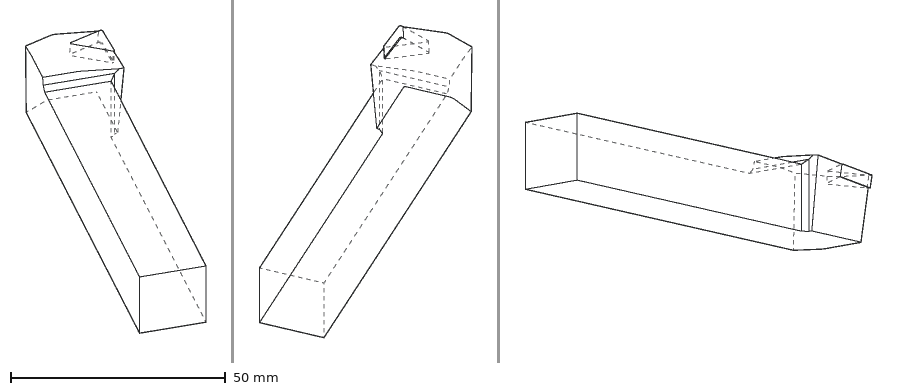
import cadquery as cq
import math

LENGTH = 99.7
HEAD_HEIGHT = 19.0
SHANK_WIDTH = 16.2
SHANK_HEIGHT = 16.0

NOSE_BASE_X = 1.8
BACK_BASE_Y = 18.1
FLANK_DRAFT = 5.3
CORNER_BASE_Y = 6.1
CORNER_DRAFT = 6.3
FRONT_BEVEL_ANGLE = 30.0
BEVEL_CORNER_RADIUS = 3.3
BACK_CORNER_RADIUS = 0.4

STEP_TOP_X = 19.0
STEP_LEAN = 0.5
STEP_CHAMFER = 1.2
HEAD_BACK_Y = 19.8

SLOPE_START_X = 10.3
SLOPE_ANGLE = 8.2

INSERT_SIDE = 11.2
INSERT_THICKNESS = 3.1
INSERT_NOSE_RADIUS = 0.4
INSERT_CENTER_X = 5.3
INSERT_BACK_Y = 20.0

SLOPE = math.tan(math.radians(SLOPE_ANGLE))
MARGIN = 5.0

BACK_CORNER = 3
BEVEL_CORNER = 4


def head_outline(z):
    """Corners of the drafted outline at height z."""
    flare = z * math.tan(math.radians(FLANK_DRAFT))
    left_x = NOSE_BASE_X - flare
    back_y = BACK_BASE_Y + flare
    corner_y = CORNER_BASE_Y + z * math.tan(math.radians(CORNER_DRAFT))
    bevel_x = left_x + corner_y * math.tan(math.radians(FRONT_BEVEL_ANGLE))
    return [(bevel_x, 0), (LENGTH, 0), (LENGTH, back_y), (left_x, back_y), (left_x, corner_y)]


def drafted_blank():
    """Full-length blank with drafted flanks and rounded nose corners."""
    blank = (
        cq.Workplane("XY").polyline(head_outline(0)).close()
        .workplane(offset=HEAD_HEIGHT).polyline(head_outline(HEAD_HEIGHT)).close()
        .loft(ruled=True)
    )

    def upright_edge(index):
        base = head_outline(0)[index]
        top = head_outline(HEAD_HEIGHT)[index]
        middle = ((base[0] + top[0]) / 2, (base[1] + top[1]) / 2, HEAD_HEIGHT / 2)
        return cq.selectors.NearestToPointSelector(middle)

    blank = blank.edges(upright_edge(BACK_CORNER)).fillet(BACK_CORNER_RADIUS)
    return blank.edges(upright_edge(BEVEL_CORNER)).fillet(BEVEL_CORNER_RADIUS)


def step_waste(plane, head_level, shank_level):
    """Material beside the shank, bounded by a leaning step and a chamfer."""
    foot_x = STEP_TOP_X + STEP_LEAN
    outline = [
        (STEP_TOP_X, head_level),
        (foot_x, shank_level + STEP_CHAMFER),
        (foot_x + STEP_CHAMFER, shank_level),
        (LENGTH + MARGIN, shank_level),
        (LENGTH + MARGIN, head_level + MARGIN),
        (STEP_TOP_X, head_level + MARGIN),
    ]
    return cq.Workplane(plane).polyline(outline).close().extrude(LENGTH, both=True)


def slope_plane(x, y):
    """Plane on the sloping face above (x, y), with its local X along global X."""
    fall = SLOPE / math.sqrt(2)
    z = HEAD_HEIGHT - fall * (y - x + SLOPE_START_X)
    return cq.Plane(origin=(x, y, z), xDir=(1, 0, fall), normal=(-fall, fall, 1))


def slope_waste():
    """Block resting on the sloping face."""
    return cq.Workplane(slope_plane(SLOPE_START_X, 0)).rect(LENGTH, LENGTH).extrude(LENGTH)


def make_insert():
    """Triangular insert with straight sides, one edge along the back of the head."""
    apex_depth = INSERT_SIDE * math.sqrt(3) / 2
    half_side = INSERT_SIDE / 2
    plane = slope_plane(INSERT_CENTER_X, INSERT_BACK_Y)
    corners = cq.Sketch().polygon(
        [(-half_side, 0), (0, -apex_depth), (half_side, 0), (-half_side, 0)]
    ).vertices().fillet(INSERT_NOSE_RADIUS)
    return cq.Workplane(plane).placeSketch(corners).extrude(-INSERT_THICKNESS)


insert = make_insert()
holder = (
    drafted_blank()
    .cut(step_waste("XZ", HEAD_HEIGHT, SHANK_HEIGHT))
    .cut(step_waste("XY", HEAD_BACK_Y, SHANK_WIDTH))
    .cut(slope_waste())
    .cut(insert)
)

result = cq.Compound.makeCompound([holder.solids().val(), insert.val()])